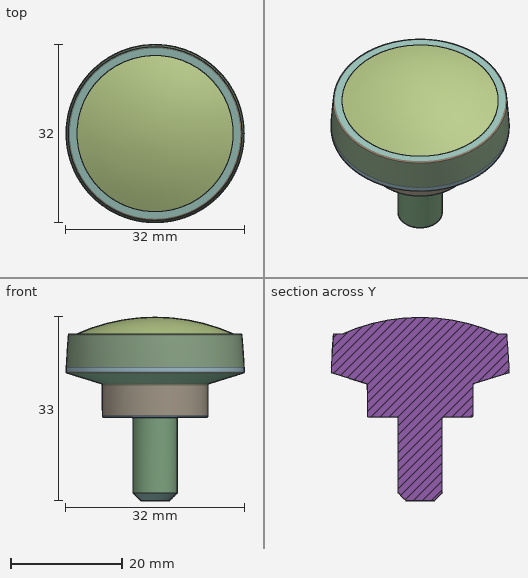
import cadquery as cq

total_height = 33.0
shank_radius = 8.0 / 2
collar_radius = 19.0 / 2
head_radius = 32.0 / 2
rim_radius = 15.58
dome_radius = 14.02

shank_top = 15.0
collar_top = 21.0
band_bottom = 23.0
band_top = 24.0
rim_top = 30.0

tip_chamfer = 1.45
collar_fillet = 0.3
rim_fillet = 0.2
band_fillet = 0.2
root_fillet = 0.2
neck_fillet = 0.2
selection_margin = 0.03

grip_bulge = 0.03
grip_mid_height = (band_top + rim_top) / 2
grip_mid_radius = (head_radius + rim_radius) / 2 + grip_bulge

dome_height = total_height - rim_top
sphere_radius = (dome_radius**2 + dome_height**2) / (2 * dome_height)
dome_mid_radius = dome_radius / 2
dome_mid_height = total_height - sphere_radius + (sphere_radius**2 - dome_mid_radius**2) ** 0.5

half_section = (
    cq.Workplane("XZ")
    .lineTo(shank_radius - tip_chamfer, 0)
    .lineTo(shank_radius, tip_chamfer)
    .lineTo(shank_radius, shank_top)
    .lineTo(collar_radius, shank_top)
    .lineTo(collar_radius, collar_top)
    .lineTo(head_radius, band_bottom)
    .lineTo(head_radius, band_top)
    .threePointArc((grip_mid_radius, grip_mid_height), (rim_radius, rim_top))
    .lineTo(dome_radius, rim_top)
    .threePointArc((dome_mid_radius, dome_mid_height), (0, total_height))
    .close()
)
knob = half_section.revolve(360, (0, 0, 0), (0, 1, 0))


def fillet_circle(body, edge_radius, height, fillet_radius):
    """Round the circular edge with the given radius and height."""
    reach = edge_radius + selection_margin
    box = cq.selectors.BoxSelector(
        (-reach, -reach, height - selection_margin),
        (reach, reach, height + selection_margin),
        boundingbox=True,
    )
    edges = body.edges(box).edges(cq.selectors.RadiusNthSelector(-1))
    return edges.fillet(fillet_radius)


knob = fillet_circle(knob, collar_radius, shank_top, collar_fillet)
knob = fillet_circle(knob, collar_radius, collar_top, neck_fillet)
knob = fillet_circle(knob, head_radius, band_bottom, band_fillet)
knob = fillet_circle(knob, rim_radius, rim_top, rim_fillet)
result = fillet_circle(knob, shank_radius, shank_top, root_fillet)